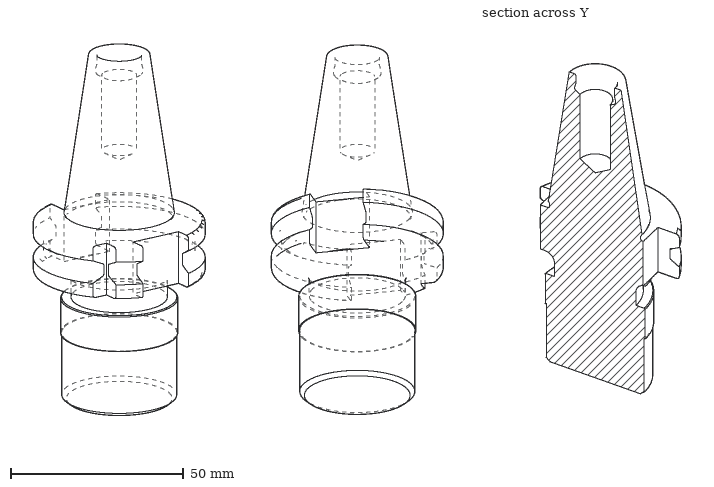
import cadquery as cq
import math

total_height = 105.8
flange_top = 54.8
flange_thickness = 15.9
flange_bottom = flange_top - flange_thickness
collar_top = 31.1
collar_bottom = 20.2

taper_ratio = 7 / 24
gauge_radius = 15.9
gauge_height = 58.0
taper_bottom = 57.0
shank_end_fillet = 0.5

relief_radius = 15.5
relief_flank_angle = 30.0
relief_flank_fillet = 0.6
relief_floor_fillet = 0.6

flange_radius = 25.0
flange_edge_fillet = 1.0
groove_radius = 22.0
groove_middle = 46.9
groove_floor_width = 3.5
groove_flank_angle = 30.0
groove_floor_fillet = 0.6

neck_radius = 14.0
neck_fillet = 3.1
collar_radius = 17.0
collar_chamfer = 0.3
nose_radius = 16.7
nose_chamfer_width = 1.4
nose_chamfer_height = 1.2

slot_width = 16.1
left_slot_floor = 16.4
right_slot_floor = 18.6
notch_x = 15.1
notch_y = -15.0

bore_radius = 6.5
bore_depth = 3.2
mouth_fillet = 0.7
undercut_radius = 6.9
undercut_angle = 15.0
undercut_fillet = 0.4
core_radius = 5.1
core_top = 99.1
core_depth = 29.6
seat_angle = 30.0
drill_half_angle = 59.0


def tangent(degrees):
    return math.tan(math.radians(degrees))


def taper_radius(height):
    return gauge_radius - (height - gauge_height) * taper_ratio / 2


def revolve_outline(points):
    return cq.Workplane("XZ").polyline(points).close().revolve(360, (0, 0, 0), (0, 1, 0))


def round_ring(body, radius, height, fillet_radius):
    """Fillet the circular edge of the given radius that lies at the given height."""
    tolerance = 0.001

    def is_ring(edge):
        if edge.geomType() != "CIRCLE":
            return False
        same_radius = abs(edge.radius() - radius) < tolerance
        return same_radius and abs(edge.Center().z - height) < tolerance

    return body.edges().filter(is_ring).fillet(fillet_radius)


groove_low = groove_middle - groove_floor_width / 2
groove_high = groove_middle + groove_floor_width / 2
groove_flank_height = (flange_radius - groove_radius) * tangent(groove_flank_angle)
relief_top = taper_bottom - (taper_radius(taper_bottom) - relief_radius) / tangent(relief_flank_angle)


def make_body():
    body = revolve_outline([
        (0, 0),
        (nose_radius - nose_chamfer_width, 0),
        (nose_radius, nose_chamfer_height),
        (nose_radius, collar_bottom),
        (collar_radius, collar_bottom),
        (collar_radius, collar_top - collar_chamfer),
        (collar_radius - collar_chamfer, collar_top),
        (neck_radius, collar_top),
        (neck_radius, flange_bottom),
        (flange_radius, flange_bottom),
        (flange_radius, groove_low - groove_flank_height),
        (groove_radius, groove_low),
        (groove_radius, groove_high),
        (flange_radius, groove_high + groove_flank_height),
        (flange_radius, flange_top),
        (relief_radius, flange_top),
        (relief_radius, relief_top),
        (taper_radius(taper_bottom), taper_bottom),
        (taper_radius(total_height), total_height),
        (0, total_height),
    ])
    rounded_rings = [
        (neck_radius, flange_bottom, neck_fillet),
        (flange_radius, flange_bottom, flange_edge_fillet),
        (groove_radius, groove_low, groove_floor_fillet),
        (groove_radius, groove_high, groove_floor_fillet),
        (flange_radius, flange_top, flange_edge_fillet),
        (relief_radius, flange_top, relief_floor_fillet),
        (relief_radius, relief_top, relief_flank_fillet),
        (taper_radius(total_height), total_height, shank_end_fillet),
    ]
    for radius, height, fillet_radius in rounded_rings:
        body = round_ring(body, radius, height, fillet_radius)
    return body


def make_pull_stud_hole():
    bore_bottom = total_height - bore_depth
    undercut_top = bore_bottom - (undercut_radius - bore_radius) / tangent(undercut_angle)
    seat_top = core_top + (undercut_radius - core_radius) * tangent(seat_angle)
    core_bottom = total_height - core_depth
    hole = revolve_outline([
        (0, total_height),
        (bore_radius, total_height),
        (bore_radius, bore_bottom),
        (undercut_radius, undercut_top),
        (undercut_radius, seat_top),
        (core_radius, core_top),
        (core_radius, core_bottom),
        (0, core_bottom - core_radius / tangent(drill_half_angle)),
    ])
    for height in (undercut_top, seat_top):
        hole = round_ring(hole, undercut_radius, height, undercut_fillet)
    return hole


def flange_cutter(x_min, x_max, y_min, y_max):
    return (
        cq.Workplane("XY", origin=(0, 0, flange_bottom))
        .moveTo((x_min + x_max) / 2, (y_min + y_max) / 2)
        .rect(x_max - x_min, y_max - y_min)
        .extrude(flange_thickness)
    )


half_slot = slot_width / 2
left_slot = flange_cutter(-flange_radius, -left_slot_floor, -half_slot, half_slot)
right_slot = flange_cutter(right_slot_floor, flange_radius, -half_slot, half_slot)
notch = flange_cutter(notch_x, flange_radius, -flange_radius, notch_y)

result = make_body().cut(make_pull_stud_hole())
result = round_ring(result, bore_radius, total_height, mouth_fillet)
for cutter in (left_slot, right_slot, notch):
    result = result.cut(cutter)